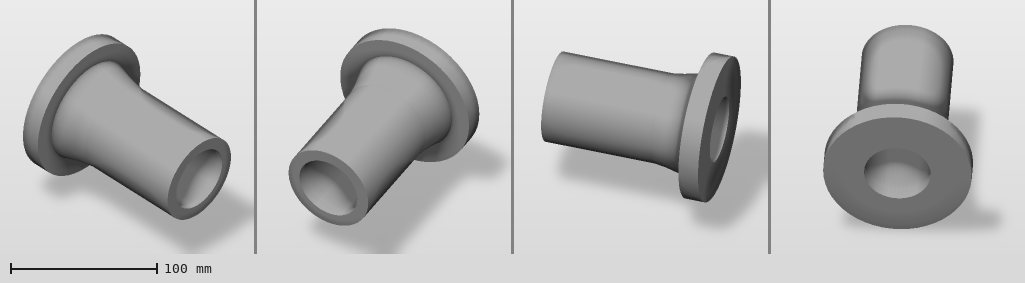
import cadquery as cq

total_length = 118.0
flange_diameter = 102.0
flange_thickness = 14.0
neck_length = 26.0
neck_base_diameter = 74.8
pipe_diameter = 63.0
bore_diameter = 45.8
neck_sag = 0.8

flange_radius = flange_diameter / 2
neck_base_radius = neck_base_diameter / 2
pipe_radius = pipe_diameter / 2
bore_radius = bore_diameter / 2
neck_end = flange_thickness + neck_length
neck_middle = (flange_thickness + neck_end) / 2
neck_middle_radius = (neck_base_radius + pipe_radius) / 2 - neck_sag

half_section = (
    cq.Workplane("XY")
    .moveTo(0, bore_radius)
    .lineTo(0, flange_radius)
    .lineTo(flange_thickness, flange_radius)
    .lineTo(flange_thickness, neck_base_radius)
    .threePointArc((neck_middle, neck_middle_radius), (neck_end, pipe_radius))
    .lineTo(total_length, pipe_radius)
    .lineTo(total_length, bore_radius)
    .close()
)

result = half_section.revolve(360, (0, 0, 0), (1, 0, 0)).translate((-total_length / 2, 0, 0))